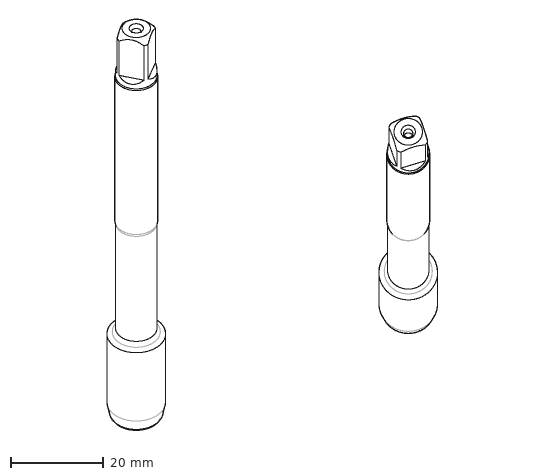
import cadquery as cq
import math


TOTAL_LENGTH = 110.0
HEAD_TOP = 23.0
SHANK_START = 54.6
SHANK_END = 96.6
SQUARE_START = 98.8

HEAD_DIAMETER = 12.8
NECK_DIAMETER = 9.0
SHANK_DIAMETER = 9.4
LOWER_CHAMFER_LENGTH = 0.7
UPPER_CHAMFER_LENGTH = 0.3

FLARE_ANGLE = math.radians(25)
FLARE_FILLET_RADIUS = 1.2
FILLET_CENTRE_X = NECK_DIAMETER / 2 + FLARE_FILLET_RADIUS
CONE_END_X = FILLET_CENTRE_X - FLARE_FILLET_RADIUS * math.sin(FLARE_ANGLE)
CONE_END_Z = HEAD_TOP + (HEAD_DIAMETER / 2 - CONE_END_X) * math.tan(FLARE_ANGLE)
FLARE_TOP = CONE_END_Z + FLARE_FILLET_RADIUS * math.cos(FLARE_ANGLE)

SQUARE_SIZE = 7.0
TOP_DIAMETER = 6.2
TOP_CHAMFER_LENGTH = 1.4

CENTRE_DIAMETER = 2.0
COUNTERSINK_DIAMETER = 3.1
COUNTERSINK_DEPTH = 0.9
CENTRE_DEPTH = 3.3
DRILL_POINT_ANGLE = math.radians(60)

LEAD_LENGTH = 3.5
LEAD_DIAMETER = 11.7
TIP_DIAMETER = 10.8
TIP_CHAMFER_LENGTH = 0.7


def revolve_profile(stations):
    """Revolve (diameter, height) stations, listed from bottom to top, about Z."""
    outline = [(diameter / 2, height) for diameter, height in stations]
    if outline[0][0] > 0:
        outline.insert(0, (0, stations[0][1]))
    outline.append((0, stations[-1][1]))
    return cq.Workplane("XZ").polyline(outline).close().revolve(360, (0, 0), (0, 1))


def cut_driving_square(body):
    """Mill four flats at the top, each running out at 45 degrees at its lower end."""
    flat_offset = SQUARE_SIZE / 2
    cut_depth = SHANK_DIAMETER - flat_offset
    cutter = (
        cq.Workplane("XZ")
        .polyline([
            (flat_offset, SQUARE_START),
            (flat_offset, TOTAL_LENGTH),
            (flat_offset + cut_depth, TOTAL_LENGTH),
            (flat_offset + cut_depth, SQUARE_START - cut_depth),
        ])
        .close()
        .extrude(SHANK_DIAMETER, both=True)
    )
    for side in range(4):
        body = body.cut(cutter.rotate((0, 0, 0), (0, 0, 1), 90 * side))
    return body


def centre_hole():
    drilled_end = TOTAL_LENGTH - CENTRE_DEPTH
    point_length = CENTRE_DIAMETER / 2 / math.tan(DRILL_POINT_ANGLE)
    return revolve_profile([
        (0, drilled_end - point_length),
        (CENTRE_DIAMETER, drilled_end),
        (CENTRE_DIAMETER, TOTAL_LENGTH - COUNTERSINK_DEPTH),
        (COUNTERSINK_DIAMETER, TOTAL_LENGTH),
    ])


def make_shank():
    shaft = revolve_profile([
        (NECK_DIAMETER, FLARE_TOP),
        (NECK_DIAMETER, SHANK_START),
        (SHANK_DIAMETER, SHANK_START + LOWER_CHAMFER_LENGTH),
        (SHANK_DIAMETER, SHANK_END - UPPER_CHAMFER_LENGTH),
        (NECK_DIAMETER, SHANK_END),
        (NECK_DIAMETER, TOTAL_LENGTH - TOP_CHAMFER_LENGTH),
        (TOP_DIAMETER, TOTAL_LENGTH),
    ])
    return cut_driving_square(shaft).cut(centre_hole())


def make_head():
    """Lead, cylinder and flare; the concave fillet is tangent to the cone and the neck."""
    middle_angle = (math.pi / 2 - FLARE_ANGLE) / 2
    fillet_middle = (
        FILLET_CENTRE_X - FLARE_FILLET_RADIUS * math.cos(middle_angle),
        FLARE_TOP - FLARE_FILLET_RADIUS * math.sin(middle_angle),
    )
    return (
        cq.Workplane("XZ")
        .polyline([
            (0, 0),
            (TIP_DIAMETER / 2, 0),
            (LEAD_DIAMETER / 2, TIP_CHAMFER_LENGTH),
            (HEAD_DIAMETER / 2, LEAD_LENGTH),
            (HEAD_DIAMETER / 2, HEAD_TOP),
            (CONE_END_X, CONE_END_Z),
        ])
        .threePointArc(fillet_middle, (NECK_DIAMETER / 2, FLARE_TOP))
        .lineTo(0, FLARE_TOP)
        .close()
        .revolve(360, (0, 0), (0, 1))
    )


shank = make_shank()
head = make_head()
result = cq.Compound.makeCompound([shank.solids().val(), head.val()])